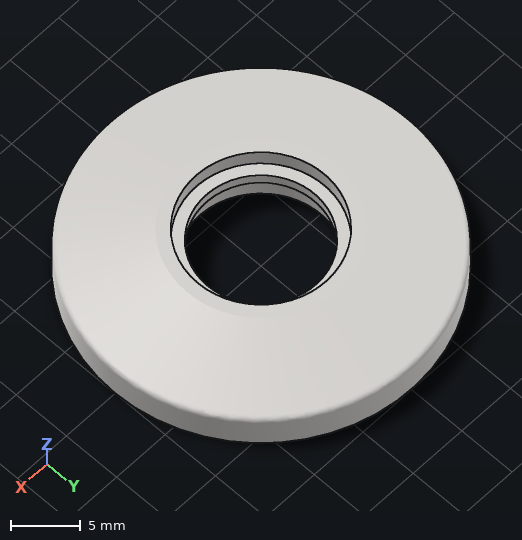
import cadquery as cq
import math

outer_diameter = 30.0
height = 5.0

rim_diameter = 15.1
cone_angle = 15.0
edge_radius = 0.5

recess_diameter = 12.9
recess_depth = 1.5
bore_diameter = 10.9
bore_length = 1.0
counterbore_diameter = 12.2
counterbore_depth = height - recess_depth - bore_length

outer_radius = outer_diameter / 2
rim_radius = rim_diameter / 2
cone_drop = (outer_radius - rim_radius) * math.tan(math.radians(cone_angle))
side_height = height - cone_drop


def make_body():
    """Revolve the half section of the disc, then round its shoulder."""
    section = (
        cq.Workplane("XZ")
        .lineTo(outer_radius, 0)
        .lineTo(outer_radius, side_height)
        .lineTo(rim_radius, height)
        .lineTo(0, height)
        .close()
    )
    body = section.revolve(360, (0, 0, 0), (0, 1, 0))
    shoulder = cq.selectors.BoxSelector(
        (-outer_radius, -outer_radius, side_height - edge_radius),
        (outer_radius, outer_radius, side_height + edge_radius),
    )
    return body.edges("%CIRCLE").edges(shoulder).fillet(edge_radius)


def make_cylinder(diameter, bottom, length):
    """Cylinder on the Z axis, starting at height bottom."""
    return cq.Workplane("XY").workplane(offset=bottom).circle(diameter / 2).extrude(length)


top_recess = make_cylinder(recess_diameter, height - recess_depth, recess_depth)
through_bore = make_cylinder(bore_diameter, 0, height)
bottom_counterbore = make_cylinder(counterbore_diameter, 0, counterbore_depth)

result = make_body().cut(top_recess).cut(through_bore).cut(bottom_counterbore)